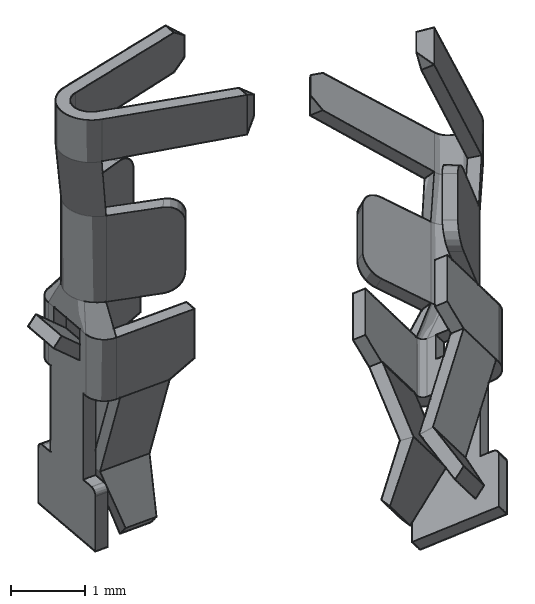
import cadquery as cq
import math


sheet = 0.2

length = 6.8
tab_top = 1.0
box_bottom = 2.4
box_top = 3.4
barrel_bottom = 3.8
barrel_top = 5.2
band_bottom = 6.11

strip_width = 0.8
tab_width = 1.4
tab_corner_radius = 0.1

box_half_width = 0.76
box_corner_radius = 0.3
box_wall_height = 1.56
box_flat_half_width = box_half_width - box_corner_radius
box_wall_cut_y = 1.16
box_wall_cut_z = 2.6

tongue_width = 0.63
tongue_angle = 40
tongue_root_z = 2.89
tongue_reach = 0.42

leaf_low_y = 0.36
leaf_high_y = 1.16
leaf_tip_low_y = 0.51
leaf_tip_high_y = 1.01
leaf_slope = 1 / 3
leaf_outer_bend_z = 0.922
leaf_inner_bend_z = 0.89
leaf_outer_tip = (0.665, 0.172)
leaf_inner_tip = (0.525, 0.0)
leaf_wall = sheet / math.cos(math.atan(leaf_slope))

crimp_bend_half_width = 0.46
barrel_lean = 18.5
barrel_floor_y = 0.0
barrel_half_span = 0.81
barrel_leg_top_y = 1.5
barrel_corner_radius = 0.3
band_lean = 15.2
band_floor_y = -0.09
band_half_span = 1.0
band_leg_top_y = 2.46
band_shoulder_z = 6.755
band_point_low_z = 6.25
band_point_high_z = 6.6


def crimp_radius(lean):
    return crimp_bend_half_width / math.cos(math.radians(lean))


def crimp_point(lean, floor_y, angle, depth=0.0):
    """Point on the round floor; angle runs from the lowest point toward +X."""
    radius = crimp_radius(lean)
    turn = math.radians(angle)
    x = (radius - depth) * math.sin(turn)
    y = floor_y + radius - (radius - depth) * math.cos(turn)
    return (x, y)


def mirrored(point):
    return (-point[0], point[1])


def crimp_section(lean, floor_y, half_span, leg_top_y, z_low, z_high):
    """Open U with leaning legs whose ends are cut obliquely up to the inner face."""
    sweep = 90 - lean
    run = math.tan(math.radians(lean))
    outer_bend = crimp_point(lean, floor_y, sweep)
    inner_bend = crimp_point(lean, floor_y, sweep, sheet)
    outer_end = (half_span, outer_bend[1] + (half_span - outer_bend[0]) / run)
    inner_end = (inner_bend[0] + (leg_top_y - inner_bend[1]) * run, leg_top_y)
    return (
        cq.Workplane("XY", origin=(0, 0, z_low))
        .moveTo(*mirrored(outer_end))
        .lineTo(*mirrored(outer_bend))
        .threePointArc((0, floor_y), outer_bend)
        .lineTo(*outer_end)
        .lineTo(*inner_end)
        .lineTo(*inner_bend)
        .threePointArc((0, floor_y + sheet), mirrored(inner_bend))
        .lineTo(*mirrored(inner_end))
        .close()
        .extrude(z_high - z_low)
    )


def crimp_floor_wire(lean, floor_y, z, splits):
    """Round floor without legs; splits lists where its arcs divide, as shares of the half sweep."""
    sweep = 90 - lean

    def arc(start, end, depth):
        angles = (start, (start + end) / 2, end)
        points = [crimp_point(lean, floor_y, angle, depth) for angle in angles]
        return cq.Edge.makeThreePointArc(*[cq.Vector(x, y, z) for x, y in points])

    stops = [share * sweep for share in (-1, *splits, 1)]
    spans = list(zip(stops, stops[1:]))
    outer = [arc(start, end, 0) for start, end in spans]
    inner = [arc(end, start, sheet) for start, end in reversed(spans)]
    return close_floor(outer, inner)


def box_floor_wire(z):
    """Box floor with its rounded corners, cut off where the walls begin."""

    def corner_point(side, angle, radius):
        turn = math.radians(angle)
        x = box_flat_half_width + radius * math.sin(turn)
        y = box_corner_radius - radius * math.cos(turn)
        return cq.Vector(side * x, y, z)

    def profile(radius):
        left = [corner_point(-1, angle, radius) for angle in (90, 45, 0)]
        right = [corner_point(1, angle, radius) for angle in (0, 45, 90)]
        return left, right

    left, right = profile(box_corner_radius)
    outer = [
        cq.Edge.makeThreePointArc(*left),
        cq.Edge.makeLine(left[-1], right[0]),
        cq.Edge.makeThreePointArc(*right),
    ]
    left, right = profile(box_corner_radius - sheet)
    inner = [
        cq.Edge.makeThreePointArc(*right[::-1]),
        cq.Edge.makeLine(right[0], left[-1]),
        cq.Edge.makeThreePointArc(*left[::-1]),
    ]
    return close_floor(outer, inner)


def close_floor(outer, inner):
    right_end = cq.Edge.makeLine(outer[-1].endPoint(), inner[0].startPoint())
    left_end = cq.Edge.makeLine(inner[-1].endPoint(), outer[0].startPoint())
    return cq.Wire.assembleEdges(outer + [right_end] + inner + [left_end])


def side_prism(points):
    """Prism across the full width from an outline of (y, z) points."""
    half_depth = 2 * box_half_width
    return cq.Workplane("YZ").polyline(points).close().extrude(half_depth, both=True)


def make_strip():
    strip = cq.Workplane("XY").box(strip_width, sheet, box_top, centered=(True, False, False))
    tab = (
        cq.Workplane("XY")
        .box(tab_width, sheet, tab_top, centered=(True, False, False))
        .edges("|Y and >Z")
        .fillet(tab_corner_radius)
    )
    return strip.union(tab)


def make_box():
    """Channel with its wall corners clipped above the contact leaves."""
    height = box_top - box_bottom
    outer = (
        cq.Workplane("XY", origin=(0, 0, box_bottom))
        .box(2 * box_half_width, box_wall_height, height, centered=(True, False, False))
        .edges("|Z and <Y")
        .fillet(box_corner_radius)
    )
    inner = (
        cq.Workplane("XY", origin=(0, sheet, box_bottom))
        .box(2 * (box_half_width - sheet), box_wall_height, height, centered=(True, False, False))
        .edges("|Z and <Y")
        .fillet(box_corner_radius - sheet)
    )
    clip = side_prism([
        (box_wall_cut_y, box_bottom),
        (box_wall_height, box_bottom),
        (box_wall_height, box_wall_cut_z),
    ])
    return outer.cut(inner).cut(clip)


def make_window():
    return (
        cq.Workplane("XY", origin=(0, 0, tongue_root_z))
        .box(tongue_width, sheet, box_top - tongue_root_z, centered=(True, False, False))
    )


def make_tongue():
    turn = math.radians(tongue_angle)
    rise = math.tan(turn)
    low_tip = (-tongue_reach, tongue_root_z + tongue_reach * rise)
    high_tip = (low_tip[0] + sheet * math.sin(turn), low_tip[1] + sheet * math.cos(turn))
    inner_z = high_tip[1] - (sheet - high_tip[0]) * rise
    return (
        cq.Workplane("YZ")
        .polyline([(0, tongue_root_z), low_tip, high_tip, (sheet, inner_z), (sheet, tongue_root_z)])
        .close()
        .extrude(tongue_width / 2, both=True)
    )


def make_leaf():
    """Leaf on the +X side, with the flared part narrowing toward its tip."""
    outer_bend_x = box_half_width - leaf_slope * (box_bottom - leaf_outer_bend_z)
    inner_bend_x = box_half_width - leaf_wall - leaf_slope * (box_bottom - leaf_inner_bend_z)
    outer_bend = (outer_bend_x, leaf_outer_bend_z)
    inner_bend = (inner_bend_x, leaf_inner_bend_z)

    upper = (
        cq.Workplane("XZ", origin=(0, leaf_high_y, 0))
        .polyline([
            (box_half_width, box_bottom),
            outer_bend,
            inner_bend,
            (box_half_width - leaf_wall, box_bottom),
        ])
        .close()
        .extrude(leaf_high_y - leaf_low_y)
    )

    def cross_section(outer, inner, low_y, high_y):
        corners = [(outer, low_y), (outer, high_y), (inner, high_y), (inner, low_y)]
        points = [cq.Vector(x, y, z) for (x, z), y in corners]
        return cq.Wire.makePolygon(points, close=True)

    bend = cross_section(outer_bend, inner_bend, leaf_low_y, leaf_high_y)
    tip = cross_section(leaf_outer_tip, leaf_inner_tip, leaf_tip_low_y, leaf_tip_high_y)
    flare = cq.Solid.makeLoft([bend, tip], True)
    return upper.union(cq.Workplane(flare))


def make_barrel():
    """Wire barrel with rounded leg corners."""
    barrel = crimp_section(
        barrel_lean, barrel_floor_y, barrel_half_span, barrel_leg_top_y, barrel_bottom, barrel_top
    )
    middle_z = (barrel_bottom + barrel_top) / 2
    for side in (-1, 1):
        leg_end = cq.selectors.NearestToPointSelector((side * barrel_half_span, barrel_leg_top_y, middle_z))
        barrel = barrel.faces(leg_end).edges("#Z").fillet(barrel_corner_radius)
    return barrel


def make_band():
    """Insulation band: legs slope down slightly and end in points."""
    section = crimp_section(
        band_lean, band_floor_y, band_half_span, band_leg_top_y, band_bottom, length
    )
    bend_y = crimp_point(band_lean, band_floor_y, 90 - band_lean)[1]
    rise = (band_half_span - crimp_bend_half_width) / math.tan(math.radians(band_lean))
    shoulder_y = bend_y + rise
    side = side_prism([
        (band_floor_y, band_bottom),
        (shoulder_y, band_bottom),
        (band_leg_top_y, band_point_low_z),
        (band_leg_top_y, band_point_high_z),
        (shoulder_y, band_shoulder_z),
        (band_floor_y, length),
    ])
    return section.intersect(side)


def make_necks():
    """Floor transitions from the box to the barrel and from the barrel to the band."""
    corner_splits = (-0.5, 0.5)
    no_splits = ()
    barrel_low = crimp_floor_wire(barrel_lean, barrel_floor_y, barrel_bottom, corner_splits)
    barrel_high = crimp_floor_wire(barrel_lean, barrel_floor_y, barrel_top, no_splits)
    band_low = crimp_floor_wire(band_lean, band_floor_y, band_bottom, no_splits)
    lower = cq.Solid.makeLoft([box_floor_wire(box_top), barrel_low], True)
    upper = cq.Solid.makeLoft([barrel_high, band_low], True)
    return [cq.Workplane(lower), cq.Workplane(upper)]


result = make_strip().union(make_box()).cut(make_window()).union(make_tongue())
leaf = make_leaf()
for piece in (leaf, leaf.mirror("YZ"), make_barrel(), make_band(), *make_necks()):
    result = result.union(piece)